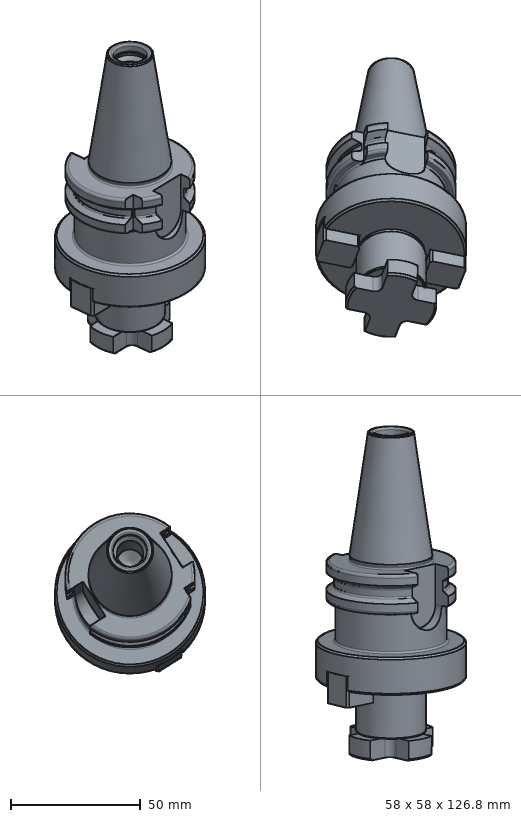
import math

import cadquery as cq


GAUGE_RADIUS = 31.75 / 2
TAPER_LENGTH = 47.8
TAPER_SLOPE = 7 / 24 / 2
TAPER_OVERRUN = 1.2
TIP_RADIUS = GAUGE_RADIUS - TAPER_SLOPE * TAPER_LENGTH
TIP_CHAMFER = 0.5
RELIEF_RADIUS = 15.75
RELIEF_Z = -2.2
RELIEF_FILLET = 0.6

BORE_RADIUS = 6.5
BORE_FILLET = 0.8
BORE_UNDERCUT_DEPTH = 0.3
BORE_UNDERCUT_START = 3.3
BORE_UNDERCUT_SLOPE_LENGTH = 0.9
THREAD_RADIUS = 5.1
THREAD_START = 6.9
THREAD_DEPTH = 24.0
DRILL_HALF_ANGLE = 59.0

FLANGE_RADIUS = 25.0
FLANGE_TOP = -3.2
FLANGE_BOTTOM = -19.1
FLANGE_FILLET = 1.2
GROOVE_RADIUS = 22.0
GROOVE_MIDDLE = -11.1
GROOVE_FLOOR_WIDTH = 3.75
GROOVE_WALL_ANGLE = 30.0
GROOVE_FILLET = 0.9

KEYWAY_WIDTH = 16.1
KEYWAY_FLOOR_LEFT = 16.4
KEYWAY_FLOOR_RIGHT = 19.0
NOTCH_X = 15.1
NOTCH_Y = -15.2

BODY_RADIUS = 21.5
BODY_FILLET = 0.8
DISC_RADIUS = 29.0
DISC_TOP = -35.0
DISC_BOTTOM = -50.0
DISC_CHAMFER = 0.8

PILOT_RADIUS = 13.5
PILOT_LENGTH = 21.0
PILOT_BOTTOM = DISC_BOTTOM - PILOT_LENGTH
PILOT_CHAMFER = 0.5
UNDERCUT_DEPTH = 0.4
UNDERCUT_LENGTH = 1.3

KEY_WIDTH = 12.0
KEY_TOP = -43.7
KEY_BOTTOM = -56.2
KEY_INNER = 14.1
KEY_OUTER = 28.5
KEY_CHAMFER = 0.9

HEAD_RADIUS = 17.5
HEAD_HEIGHT = 8.0
HEAD_ARM_WIDTH = 12.0
HEAD_CORNER_RADIUS = 3.0
HEAD_CHAMFER = 0.8


def revolve_profile(profile):
    """Turn a closed (radius, height) profile about the Z axis."""
    return profile.close().revolve(360, (0, 0, 0), (0, 1, 0))


def box_between(x_min, x_max, y_min, y_max, z_min, z_max):
    size = (x_max - x_min, y_max - y_min, z_max - z_min)
    return cq.Workplane("XY").box(*size, centered=False).translate((x_min, y_min, z_min))


def make_turned_body():
    wall_angle = math.radians(GROOVE_WALL_ANGLE)
    half_floor = GROOVE_FLOOR_WIDTH / 2
    half_mouth = half_floor + (FLANGE_RADIUS - GROOVE_RADIUS) * math.tan(wall_angle)
    corner_tangent = GROOVE_FILLET * math.tan((math.pi / 2 - wall_angle) / 2)
    wall_point_radius = GROOVE_RADIUS + corner_tangent * math.cos(wall_angle)
    half_wall_point = half_floor + corner_tangent * math.sin(wall_angle)
    half_floor_point = half_floor - corner_tangent
    rim_radius = FLANGE_RADIUS - FLANGE_FILLET
    undercut_radius = PILOT_RADIUS - UNDERCUT_DEPTH
    undercut_end = DISC_BOTTOM - UNDERCUT_LENGTH
    relief_floor = FLANGE_TOP + RELIEF_FILLET

    profile = (
        cq.Workplane("XZ")
        .moveTo(0, TAPER_LENGTH)
        .lineTo(TIP_RADIUS - TIP_CHAMFER, TAPER_LENGTH)
        .lineTo(TIP_RADIUS + TAPER_SLOPE * TIP_CHAMFER, TAPER_LENGTH - TIP_CHAMFER)
        .lineTo(GAUGE_RADIUS + TAPER_SLOPE * TAPER_OVERRUN, -TAPER_OVERRUN)
        .lineTo(RELIEF_RADIUS, RELIEF_Z)
        .lineTo(RELIEF_RADIUS, relief_floor)
        .radiusArc((RELIEF_RADIUS + RELIEF_FILLET, FLANGE_TOP), -RELIEF_FILLET)
        .lineTo(rim_radius, FLANGE_TOP)
        .radiusArc((FLANGE_RADIUS, FLANGE_TOP - FLANGE_FILLET), FLANGE_FILLET)
        .lineTo(FLANGE_RADIUS, GROOVE_MIDDLE + half_mouth)
        .lineTo(wall_point_radius, GROOVE_MIDDLE + half_wall_point)
        .radiusArc((GROOVE_RADIUS, GROOVE_MIDDLE + half_floor_point), -GROOVE_FILLET)
        .lineTo(GROOVE_RADIUS, GROOVE_MIDDLE - half_floor_point)
        .radiusArc((wall_point_radius, GROOVE_MIDDLE - half_wall_point), -GROOVE_FILLET)
        .lineTo(FLANGE_RADIUS, GROOVE_MIDDLE - half_mouth)
        .lineTo(FLANGE_RADIUS, FLANGE_BOTTOM + FLANGE_FILLET)
        .radiusArc((rim_radius, FLANGE_BOTTOM), FLANGE_FILLET)
        .lineTo(BODY_RADIUS + BODY_FILLET, FLANGE_BOTTOM)
        .radiusArc((BODY_RADIUS, FLANGE_BOTTOM - BODY_FILLET), -BODY_FILLET)
        .lineTo(BODY_RADIUS, DISC_TOP + BODY_FILLET)
        .radiusArc((BODY_RADIUS + BODY_FILLET, DISC_TOP), -BODY_FILLET)
        .lineTo(DISC_RADIUS - DISC_CHAMFER, DISC_TOP)
        .lineTo(DISC_RADIUS, DISC_TOP - DISC_CHAMFER)
        .lineTo(DISC_RADIUS, DISC_BOTTOM + DISC_CHAMFER)
        .lineTo(DISC_RADIUS - DISC_CHAMFER, DISC_BOTTOM)
        .lineTo(undercut_radius, DISC_BOTTOM)
        .lineTo(undercut_radius, undercut_end)
        .lineTo(PILOT_RADIUS, undercut_end - UNDERCUT_DEPTH)
        .lineTo(PILOT_RADIUS, PILOT_BOTTOM + PILOT_CHAMFER)
        .lineTo(PILOT_RADIUS - PILOT_CHAMFER, PILOT_BOTTOM)
        .lineTo(0, PILOT_BOTTOM)
    )
    return revolve_profile(profile)


def make_drawbar_bore():
    undercut_radius = BORE_RADIUS + BORE_UNDERCUT_DEPTH
    undercut_start = TAPER_LENGTH - BORE_UNDERCUT_START
    thread_start = TAPER_LENGTH - THREAD_START
    thread_end = TAPER_LENGTH - THREAD_DEPTH
    drill_point = THREAD_RADIUS / math.tan(math.radians(DRILL_HALF_ANGLE))
    profile = (
        cq.Workplane("XZ")
        .moveTo(0, TAPER_LENGTH)
        .lineTo(BORE_RADIUS + BORE_FILLET, TAPER_LENGTH)
        .radiusArc((BORE_RADIUS, TAPER_LENGTH - BORE_FILLET), -BORE_FILLET)
        .lineTo(BORE_RADIUS, undercut_start)
        .lineTo(undercut_radius, undercut_start - BORE_UNDERCUT_SLOPE_LENGTH)
        .lineTo(undercut_radius, thread_start + undercut_radius - THREAD_RADIUS)
        .lineTo(THREAD_RADIUS, thread_start)
        .lineTo(THREAD_RADIUS, thread_end)
        .lineTo(0, thread_end - drill_point)
    )
    return revolve_profile(profile)


def make_keyway(side, floor_distance):
    """Round-ended keyway cutter; side is -1 for -X and +1 for +X."""
    half_width = KEYWAY_WIDTH / 2
    return (
        cq.Workplane("YZ")
        .moveTo(-half_width, 0)
        .lineTo(-half_width, FLANGE_BOTTOM)
        .threePointArc((0, FLANGE_BOTTOM - half_width), (half_width, FLANGE_BOTTOM))
        .lineTo(half_width, 0)
        .close()
        .extrude(side * FLANGE_RADIUS)
        .translate((side * floor_distance, 0, 0))
    )


def make_orientation_notch():
    return box_between(NOTCH_X, FLANGE_RADIUS, -FLANGE_RADIUS, NOTCH_Y, FLANGE_BOTTOM, FLANGE_TOP)


def make_key_slot():
    """Slot in the disc that seats the key on the -Y side."""
    half_width = KEY_WIDTH / 2
    return box_between(-half_width, half_width, -DISC_RADIUS, -KEY_INNER, DISC_BOTTOM, KEY_TOP)


def make_key():
    half_width = KEY_WIDTH / 2
    block = box_between(-half_width, half_width, -KEY_OUTER, -KEY_INNER, KEY_BOTTOM, KEY_TOP)
    return block.edges("|Z").chamfer(KEY_CHAMFER)


def make_screw_head():
    span = 2 * HEAD_RADIUS
    disc = (
        cq.Workplane("XY")
        .circle(HEAD_RADIUS)
        .extrude(-HEAD_HEIGHT)
        .faces("<Z")
        .chamfer(HEAD_CHAMFER)
    )
    arm_along_x = cq.Workplane("XY").rect(span, HEAD_ARM_WIDTH).extrude(-HEAD_HEIGHT)
    arm_along_y = cq.Workplane("XY").rect(HEAD_ARM_WIDTH, span).extrude(-HEAD_HEIGHT)
    inner_corners = cq.selectors.BoxSelector(
        (-HEAD_ARM_WIDTH, -HEAD_ARM_WIDTH, -HEAD_HEIGHT),
        (HEAD_ARM_WIDTH, HEAD_ARM_WIDTH, 0),
    )
    cross = arm_along_x.union(arm_along_y).edges("|Z").edges(inner_corners).fillet(HEAD_CORNER_RADIUS)
    return disc.intersect(cross).translate((0, 0, PILOT_BOTTOM))


def make_holder():
    holder = make_turned_body()
    holder = holder.cut(make_drawbar_bore())
    holder = holder.cut(make_keyway(-1, KEYWAY_FLOOR_LEFT))
    holder = holder.cut(make_keyway(1, KEYWAY_FLOOR_RIGHT))
    holder = holder.cut(make_orientation_notch())
    for angle in (0, 180):
        holder = holder.cut(make_key_slot().rotate((0, 0, 0), (0, 0, 1), angle))
        holder = holder.union(make_key().rotate((0, 0, 0), (0, 0, 1), angle))
    return holder.union(make_screw_head())


result = make_holder()